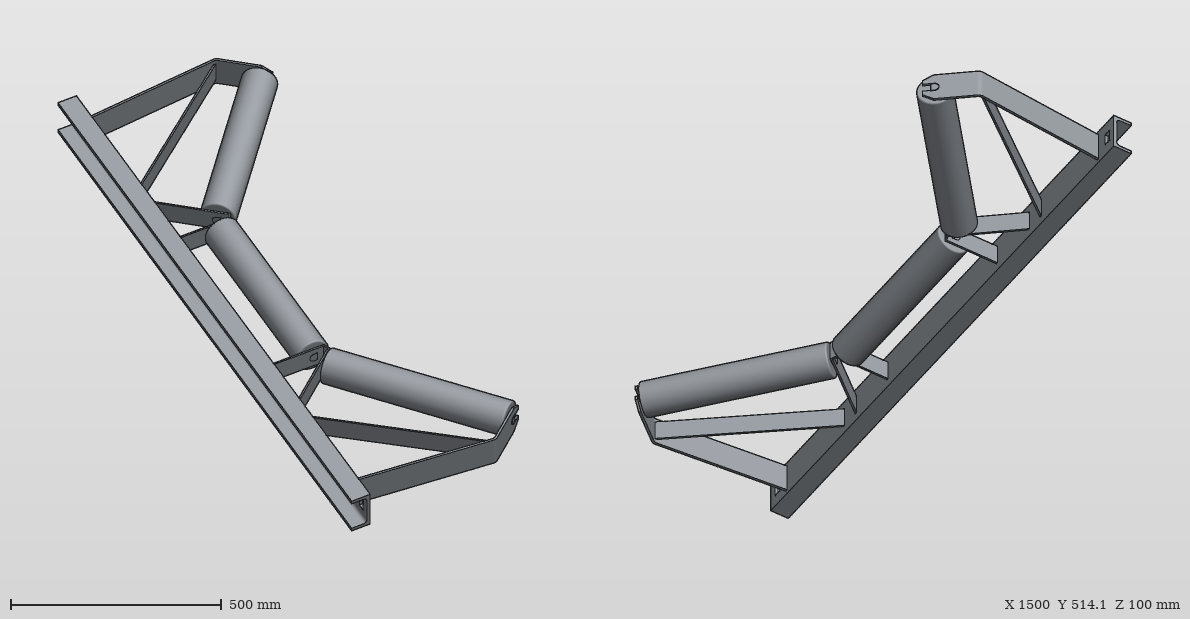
import cadquery as cq
import math

beam_length = 1500.0
beam_height = 100.0
beam_depth = 50.0
web_thickness = 9.0
flange_thickness = 9.0
root_radius = 9.0
slot_width = 20.0
slot_height = 32.0
slot_spacing = 1443.0

roller_diameter = 88.0
roller_length = 468.0
roller_edge_radius = 5.0
shaft_width = 22.0
shaft_top = 9.0
trough_angle = 40.0
middle_roller_y = 117.0
side_roller_x = 458.0
side_roller_y = 282.0
end_gap = 6.0

outer_width = 78.0
outer_thickness = 6.0
outer_foot_x = 681.0
elbow_drop = 110.0
tip_rise = 28.0
tip_chamfer_along = 27.0
tip_chamfer_across = 16.0
bend_radius = 12.0

inner_width = 54.0
inner_thickness = 5.0
leg_x = 238.0
leg_top_y = 144.0
ridge_x = 254.0
ridge_y = 150.0
inner_plate_rise = 20.0
brace_foot_x = 430.0
brace_setback = 3.0

foot_overrun = 8.0

half_roller = roller_length / 2
outer_plate_offset = half_roller + end_gap + outer_thickness / 2
inner_plate_offset = half_roller + end_gap + inner_thickness / 2
middle_shaft_length = 2 * leg_x + inner_thickness
side_shaft_length = 2 * inner_plate_offset + inner_thickness
sin_trough = math.sin(math.radians(trough_angle))
cos_trough = math.cos(math.radians(trough_angle))


def beside_roller(outward, rise):
    """Point at a distance outward along the -X roller axis from its middle, and a rise across it."""
    x = -side_roller_x - outward * cos_trough + rise * sin_trough
    y = side_roller_y + outward * sin_trough + rise * cos_trough
    return (x, y)


def at_middle_roller(body):
    """Move a body built along X to the level roller's place."""
    return body.translate((0, middle_roller_y, 0))


def at_side_roller(body):
    """Move a body built along X to the -X tilted roller's place."""
    tilted = body.rotate((0, 0, 0), (0, 0, 1), -trough_angle)
    return tilted.translate((-side_roller_x, side_roller_y, 0))


def run_below(upper, foot):
    """Continue the line from upper through foot (on Y = 0) until it is foot_overrun below Y = 0."""
    extra = foot_overrun / upper[1]
    return (foot[0] + extra * (foot[0] - upper[0]), -foot_overrun)


def bent_strip(path, width, thickness):
    """Strip bent sharply along a path in XY, centred on Z = 0 and trimmed at Y = 0."""
    normals = []
    for (x0, y0), (x1, y1) in zip(path, path[1:]):
        run = math.hypot(x1 - x0, y1 - y0)
        normals.append(((y0 - y1) / run, (x1 - x0) / run))
    one_side = []
    other_side = []
    for (x, y), before, after in zip(path, normals[:1] + normals, normals + normals[-1:]):
        mitre = thickness / 2 / (1 + before[0] * after[0] + before[1] * after[1])
        dx = mitre * (before[0] + after[0])
        dy = mitre * (before[1] + after[1])
        one_side.append((x + dx, y + dy))
        other_side.append((x - dx, y - dy))
    outline = cq.Workplane("XY", origin=(0, 0, -width / 2)).polyline(one_side + other_side[::-1]).close()
    strip = outline.extrude(width)
    beyond_web = cq.Workplane("XY").box(beam_length, beam_length, beam_length, centered=(True, False, True))
    return strip.intersect(beyond_web)


def make_beam():
    block = cq.Workplane("XY").box(beam_length, beam_depth, beam_height)
    cavity = (
        cq.Workplane("XY")
        .box(beam_length, beam_depth, beam_height - 2 * flange_thickness)
        .edges("|X and >Y")
        .fillet(root_radius)
        .translate((0, -web_thickness, 0))
    )
    slots = (
        cq.Workplane("XY")
        .pushPoints([(-slot_spacing / 2, 0), (slot_spacing / 2, 0)])
        .box(slot_width, beam_depth, slot_height)
    )
    return block.cut(cavity).cut(slots).translate((0, -beam_depth / 2, 0))


def u_bar(top, length):
    """Bar along X, centred on the origin, with a round bottom, straight sides and a flat top."""
    radius = shaft_width / 2
    return (
        cq.Workplane("YZ", origin=(-length / 2, 0, 0))
        .moveTo(top, -radius)
        .lineTo(0, -radius)
        .threePointArc((-radius, 0), (0, radius))
        .lineTo(top, radius)
        .close()
        .extrude(length)
    )


def make_roller(shaft_length):
    shell = (
        cq.Workplane("YZ", origin=(-half_roller, 0, 0))
        .circle(roller_diameter / 2)
        .extrude(roller_length)
        .faces("<X or >X")
        .edges()
        .fillet(roller_edge_radius)
    )
    return shell.union(u_bar(shaft_top, shaft_length))


elbow = beside_roller(outer_plate_offset, -elbow_drop)


def make_outer_bracket():
    tip = beside_roller(outer_plate_offset, tip_rise)
    foot = run_below(elbow, (-outer_foot_x, 0))
    bracket = bent_strip([foot, elbow, tip], outer_width, outer_thickness)
    bracket = bracket.edges("|Z and <X").fillet(bend_radius + outer_thickness)
    inside_edge = cq.selectors.NearestToPointSelector((*elbow, 0))
    bracket = bracket.edges("|Z").edges(inside_edge).fillet(bend_radius)
    return bracket.cut(tip_corners()).cut(shaft_slot())


def tip_corners():
    """Waste outside the two chamfers at the plate tip."""
    half_width = outer_width / 2
    corner = (
        cq.Workplane("YZ", origin=(-roller_length, 0, 0))
        .moveTo(tip_rise, half_width)
        .lineTo(tip_rise - tip_chamfer_along, half_width)
        .lineTo(tip_rise, half_width - tip_chamfer_across)
        .close()
        .extrude(half_roller)
    )
    return at_side_roller(corner.union(corner.mirror("XY")))


def shaft_slot():
    """U-shaped slot, open at the plate tip, that the shaft drops into."""
    return at_side_roller(u_bar(2 * tip_rise, 2 * roller_length))


def make_inner_bracket():
    foot_rise = (inner_plate_offset * sin_trough - side_roller_y) / cos_trough
    plate_foot = beside_roller(-inner_plate_offset, foot_rise)
    plate_top = beside_roller(-inner_plate_offset, inner_plate_rise)
    path = [
        (-leg_x, 0),
        (-leg_x, leg_top_y),
        (-ridge_x, ridge_y),
        plate_top,
        run_below(plate_top, plate_foot),
    ]
    bracket = bent_strip(path, inner_width, inner_thickness)
    bracket = bracket.cut(at_middle_roller(u_bar(shaft_top, middle_shaft_length)))
    return bracket.cut(at_side_roller(u_bar(shaft_top, side_shaft_length)))


def make_brace(outer_bracket):
    """Straight strip from the web to the inside of the outer bracket's elbow."""
    foot = run_below(elbow, (-brace_foot_x, 0))
    setback = brace_setback / math.dist(foot, elbow)
    top = (elbow[0] + setback * (foot[0] - elbow[0]), elbow[1] + setback * (foot[1] - elbow[1]))
    return bent_strip([foot, top], inner_width, inner_thickness).cut(outer_bracket)


beam = make_beam()
middle_roller = at_middle_roller(make_roller(middle_shaft_length))
side_roller = at_side_roller(make_roller(side_shaft_length))
outer_bracket = make_outer_bracket()
inner_bracket = make_inner_bracket()
brace = make_brace(outer_bracket)

solids = [beam.solids().val(), middle_roller.solids().val()]
for part in (side_roller, outer_bracket, inner_bracket, brace):
    solids.append(part.solids().val())
    solids.append(part.mirror("YZ").solids().val())

result = cq.Compound.makeCompound(solids)